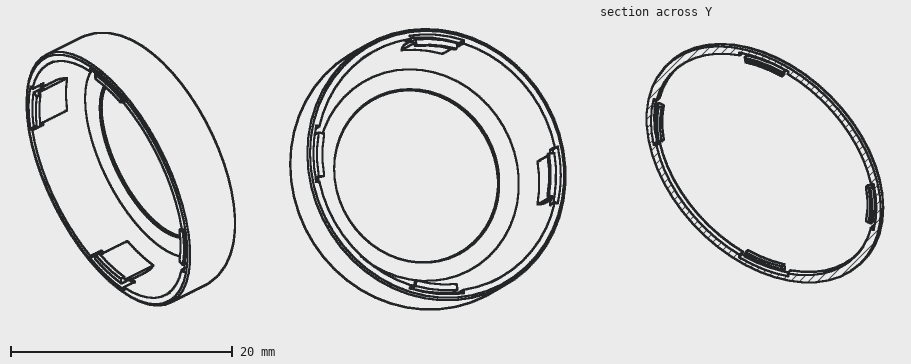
import cadquery as cq
import math

outer_radius = 12.5
height = 7.7

mouth_chamfer_radial = 0.2
mouth_chamfer_axial = 0.15
shoulder_start = 3.95
shoulder_radius = 2.4
shoulder_end = 6.2
crown_radius = 7.75
crown_start = 7.12

wall = 0.82
inner_radius = outer_radius - wall
inner_shoulder_start = 2.72
ceiling_radius = 10.75
ceiling_start = 4.25
ledge_outer_radius = 9.75
ledge_inner_radius = 9.48
ledge_height = 4.68
recess_radius = 8.0
recess_start = 5.02
recess_wall_end_radius = 7.92
recess_floor = 5.2
inner_dome_radius = 7.6
inner_dome_top = 5.72

clip_count = 4
lip_radius = 11.05
clip_inner_radius = 11.35
clip_front_outer_radius = 11.58
clip_front = 0.12
clip_back = 3.72
lip_length = 0.4
clip_angle = 20.2
relief_radius = 11.98
relief_angle = 25.2
relief_depth = 1.25


def radius_on_shoulder(level):
    """Distance from the axis at which the outer shoulder passes the given height."""
    centre = outer_radius - shoulder_radius
    return centre + math.sqrt(shoulder_radius**2 - (level - shoulder_start) ** 2)


def dome_middle(edge_radius, edge_height, top):
    """Point halfway along an arc whose crest lies on the axis."""
    rise = top - edge_height
    sphere = (edge_radius**2 + rise**2) / (2 * rise)
    radius = edge_radius / 2
    return radius, top - sphere + math.sqrt(sphere**2 - radius**2)


def revolve_about_axis(profile, angle=360.0):
    """Revolve a radius/height profile, centring a partial turn on +X."""
    solid = profile.close().revolve(angle, (0, 0, 0), (0, 1, 0))
    return solid.rotate((0, 0, 0), (0, 1, 0), -angle / 2)


def outer_body():
    profile = (
        cq.Workplane("XY")
        .lineTo(outer_radius - mouth_chamfer_radial, 0)
        .lineTo(outer_radius, mouth_chamfer_axial)
        .lineTo(outer_radius, shoulder_start)
        .tangentArcPoint((radius_on_shoulder(shoulder_end), shoulder_end), relative=False)
        .tangentArcPoint((crown_radius, crown_start), relative=False)
        .threePointArc(dome_middle(crown_radius, crown_start, height), (0, height))
    )
    return revolve_about_axis(profile)


def inner_cavity():
    profile = (
        cq.Workplane("XY")
        .lineTo(inner_radius, 0)
        .lineTo(inner_radius, inner_shoulder_start)
        .tangentArcPoint((ceiling_radius, ceiling_start), relative=False)
        .lineTo(ledge_outer_radius, ledge_height)
        .lineTo(ledge_inner_radius, ledge_height)
        .lineTo(recess_radius, recess_start)
        .lineTo(recess_wall_end_radius, recess_floor)
        .lineTo(inner_dome_radius, recess_floor)
        .threePointArc(
            dome_middle(inner_dome_radius, recess_floor, inner_dome_top),
            (0, inner_dome_top),
        )
    )
    return revolve_about_axis(profile)


def clip():
    """Finger along the wall, ending in the inner shoulder, with a lip at the mouth."""
    embed_radius = inner_radius + wall / 2
    lip_back = clip_front + lip_length
    profile = (
        cq.Workplane("XY")
        .moveTo(lip_radius, clip_front)
        .lineTo(embed_radius, clip_front)
        .lineTo(embed_radius, clip_back)
        .lineTo(clip_inner_radius, clip_back)
        .lineTo(clip_inner_radius, lip_back)
        .lineTo(lip_radius, lip_back)
    )
    return revolve_about_axis(profile, clip_angle)


def relief():
    """Pocket sunk from the mouth between the front of a clip and the wall."""
    profile = (
        cq.Workplane("XY")
        .moveTo(clip_front_outer_radius, 0)
        .lineTo(relief_radius, 0)
        .lineTo(relief_radius, relief_depth)
        .lineTo(clip_front_outer_radius, relief_depth)
    )
    return revolve_about_axis(profile, relief_angle)


result = outer_body().cut(inner_cavity())
for index in range(clip_count):
    turn = index * 360 / clip_count
    result = result.union(clip().rotate((0, 0, 0), (0, 1, 0), turn))
    result = result.cut(relief().rotate((0, 0, 0), (0, 1, 0), turn))